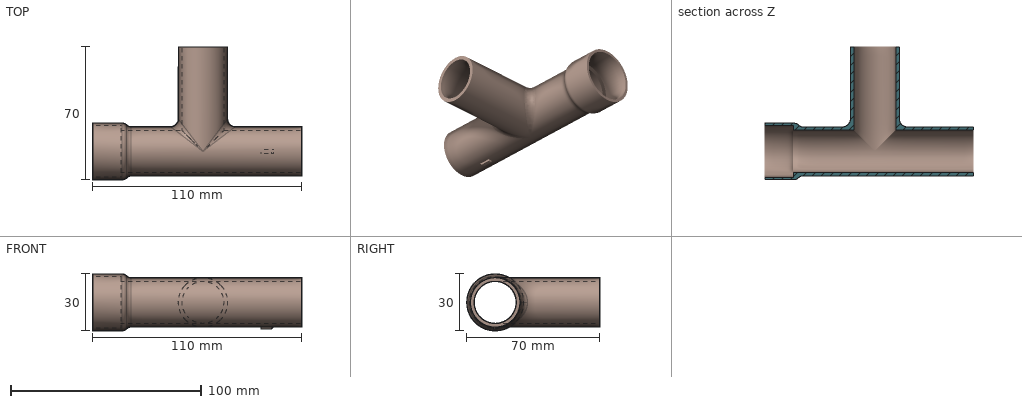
import cadquery as cq
import math

run_length = 110.0
branch_x = 58.0
branch_reach = 55.0

pipe_radius = 26.0 / 2
bore_radius = 22.0 / 2
socket_radius = 30.0 / 2
socket_bore_radius = 27.0 / 2
socket_depth = 15.0

neck_start = 15.4
neck_slope = math.radians(45)

tee_fillet_radius = 4.0

lug_start = 88.5
lug_top_length = 6.5
lug_slope_run = 1.0
lug_height = 1.0
lug_width = 2.0


def run_body():
    """Outside of the run: socket cup, S-shaped neck and plain pipe.

    The profile lies on the +Z side, which puts the seam along the top line.
    """
    half_drop = (socket_radius - pipe_radius) / 2
    arc_radius = half_drop / (1 - math.cos(neck_slope))
    half_neck = arc_radius * math.sin(neck_slope)
    arc_mid_x = arc_radius * math.sin(neck_slope / 2)
    arc_mid_drop = arc_radius * (1 - math.cos(neck_slope / 2))
    neck_middle = neck_start + half_neck
    neck_end = neck_middle + half_neck
    return (
        cq.Workplane("XZ")
        .lineTo(0, socket_radius)
        .lineTo(neck_start, socket_radius)
        .threePointArc(
            (neck_start + arc_mid_x, socket_radius - arc_mid_drop),
            (neck_middle, socket_radius - half_drop),
        )
        .threePointArc(
            (neck_end - arc_mid_x, pipe_radius + arc_mid_drop),
            (neck_end, pipe_radius),
        )
        .lineTo(run_length, pipe_radius)
        .lineTo(run_length, 0)
        .close()
        .revolve(360, (0, 0, 0), (1, 0, 0))
    )


def run_cylinder(radius, length):
    """Cylinder on the run axis, starting at the socket face."""
    return cq.Workplane("YZ").circle(radius).extrude(length)


def branch_cylinder(radius):
    """Cylinder on the branch axis, from the run axis to the open end."""
    return cq.Workplane("XZ", origin=(branch_x, 0, 0)).circle(radius).extrude(-branch_reach)


def filleted_tee():
    """Run and branch joined, with their crossing curves rounded."""
    return (
        run_body()
        .union(branch_cylinder(pipe_radius))
        .edges("%ELLIPSE")
        .fillet(tee_fillet_radius)
    )


def lug():
    """Small sloped lug; it starts midway in the wall so that it fuses with the pipe."""
    lug_bottom = -pipe_radius - lug_height
    lug_root = -(bore_radius + pipe_radius) / 2
    lug_end = lug_start + lug_top_length
    return (
        cq.Workplane("XZ")
        .moveTo(lug_start, lug_root)
        .lineTo(lug_start, lug_bottom)
        .lineTo(lug_end - lug_slope_run, lug_bottom)
        .lineTo(lug_end, -pipe_radius)
        .lineTo(lug_end, lug_root)
        .close()
        .extrude(lug_width / 2, both=True)
    )


result = (
    filleted_tee()
    .cut(run_cylinder(socket_bore_radius, socket_depth))
    .cut(run_cylinder(bore_radius, run_length))
    .cut(branch_cylinder(bore_radius))
    .union(lug())
)